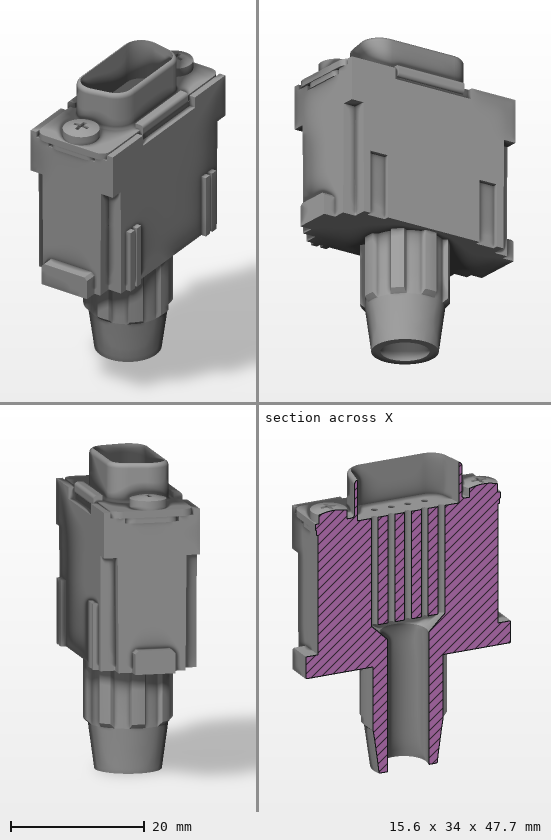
import cadquery as cq
import math

TOTAL_HEIGHT = 47.7
COLLAR_BASE_Z = 7.0
BODY_BASE_Z = 17.2
FUNNEL_BASE_Z = 21.27
CAVITY_TOP_Z = 23.85
SEAT_Z = 40.75
CONTACT_FACE_Z = 41.15
BODY_TOP_Z = 41.65
PLATE_TOP_Z = 41.8

JOINT_OVERLAP = 0.5

BODY_X = 14.8
BODY_Y = 30.0
SEAT_X = 12.8
CORNER_CUT = 2.1
CORNER_CUT_TOP_Z = 34.73
CORNER_CUT_DRAFT = 0.5
WINDOW_Y = 13.95
WINDOW_BASE_Z = 39.9
FOOT_SPAN_Y = 34.0
FOOT_HEIGHT = 3.6
FRONT_FOOT_X = 8.2
REAR_FOOT_X = 6.15
FOOT_CHAMFER = 0.5

SLOT_HEIGHT = 10.0
SLOT_CENTRE_Y = 9.95
SLOT_WIDTH = 3.2
SLOT_DEPTH = 0.85
RIB_PROJECTION = 0.8
RIB_WIDTH = 1.1
RIB_SPACING = 1.7
RIB_PAIR_CENTRE_Y = 10.0

CONNECTOR_SHIFT_X = -0.05
PLATE_X = 12.6
PLATE_Y = 30.8
PLATE_CORNER_RADIUS = 1.65
LEDGE_X = 8.3
LEDGE_CORNER_RADIUS = 1.6
LEDGE_PROJECTION = 0.25
LATCH_INNER_X = 5.45
LATCH_OUTER_X = 6.8
LATCH_Y = 12.0
LATCH_TOP_Z = 42.65
LATCH_TOP_RADIUS = 0.52
LATCH_BOTTOM_RADIUS = 0.6

SHELL_X = 9.25
SHELL_LONG_SIDE = 19.25
SHELL_END_ANGLE = 11.0
SHELL_CORNER_RADIUS = 3.15
SHELL_WALL = 0.55
SHELL_RIM_RADIUS = 0.7
SHELL_BASE_RADIUS = 0.45

CONTACT_PITCH = 2.75
CONTACT_ROW_X = 1.45
CONTACT_RADIUS = 0.52
LONG_ROW_COUNT = 5
SHORT_ROW_COUNT = 4

SCREW_Y = 12.5
SCREW_RADIUS = 2.75
SCREW_HEAD_HEIGHT = 1.4
SCREW_DOME_HEIGHT = 0.5
CROSS_LENGTH = 2.55
CROSS_WIDTH = 0.6
CROSS_DEPTH = 0.55

TIP_RADIUS = 5.05
COLLAR_RADIUS = 6.0
GRIP_RADIUS = 6.73
GRIP_COUNT = 8
GRIP_CREST_WIDTH = 1.95
GRIP_ROOT_WIDTH = 2.45
BORE_RADIUS = 3.65
FUNNEL_RADIUS = 6.25


def block(x_range, y_range, z_range):
    """Box given by its limits along each axis."""
    size = [high - low for low, high in (x_range, y_range, z_range)]
    corner = (x_range[0], y_range[0], z_range[0])
    return cq.Workplane("XY").box(*size, centered=False).translate(corner)


def make_body():
    height = BODY_TOP_Z - BODY_BASE_Z
    window_end_y = BODY_Y / 2 - LEDGE_CORNER_RADIUS
    body = cq.Workplane("XY").workplane(offset=BODY_BASE_Z).rect(BODY_X, BODY_Y).extrude(height)

    half_seat = SEAT_X / 2
    body = body.cut(block((-half_seat, half_seat), (-BODY_Y, BODY_Y), (SEAT_Z, TOTAL_HEIGHT)))

    for x_range in ((-BODY_X, -half_seat), (half_seat, BODY_X)):
        y_range = (-WINDOW_Y / 2, WINDOW_Y / 2)
        body = body.cut(block(x_range, y_range, (WINDOW_BASE_Z, TOTAL_HEIGHT)))

    for y_range in ((-BODY_Y, -window_end_y), (window_end_y, BODY_Y)):
        body = body.cut(block((-LEDGE_X / 2, LEDGE_X / 2), y_range, (WINDOW_BASE_Z, TOTAL_HEIGHT)))

    corner_notches = (
        cq.Workplane("XY")
        .workplane(offset=CORNER_CUT_TOP_Z)
        .rect(BODY_X, BODY_Y, forConstruction=True)
        .vertices()
        .rect(2 * CORNER_CUT, 2 * CORNER_CUT)
        .extrude(BODY_BASE_Z - CORNER_CUT_TOP_Z, taper=-CORNER_CUT_DRAFT)
    )
    return body.cut(corner_notches)


def make_foot(width, side):
    """Foot on the end face given by side: -1 for -Y, +1 for +Y."""
    y_range = sorted((side * FOOT_SPAN_Y / 2, side * (BODY_Y / 2 - JOINT_OVERLAP)))
    z_range = (BODY_BASE_Z, BODY_BASE_Z + FOOT_HEIGHT)
    foot = block((-width / 2, width / 2), y_range, z_range)
    return foot.edges("|Y and >Z").chamfer(FOOT_CHAMFER)


def make_coding_slot(centre_y):
    x_range = (-BODY_X, -BODY_X / 2 + SLOT_DEPTH)
    y_range = (centre_y - SLOT_WIDTH / 2, centre_y + SLOT_WIDTH / 2)
    return block(x_range, y_range, (BODY_BASE_Z, BODY_BASE_Z + SLOT_HEIGHT))


def make_coding_rib(centre_y):
    x_range = (BODY_X / 2 - JOINT_OVERLAP, BODY_X / 2 + RIB_PROJECTION)
    y_range = (centre_y - RIB_WIDTH / 2, centre_y + RIB_WIDTH / 2)
    return block(x_range, y_range, (BODY_BASE_Z, BODY_BASE_Z + SLOT_HEIGHT))


def make_plate():
    plate = cq.Workplane("XY").workplane(offset=SEAT_Z).rect(PLATE_X, PLATE_Y).extrude(PLATE_TOP_Z - SEAT_Z)
    return plate.edges("|Z").fillet(PLATE_CORNER_RADIUS)


def make_ledge():
    """Rounded ledge under the plate, standing proud of both end faces."""
    ledge = (
        cq.Workplane("XY")
        .workplane(offset=WINDOW_BASE_Z)
        .rect(LEDGE_X, BODY_Y + 2 * LEDGE_PROJECTION)
        .extrude(SEAT_Z - WINDOW_BASE_Z)
    )
    return ledge.edges("|Z").fillet(LEDGE_CORNER_RADIUS)


def make_latch():
    """Latch bar on the -X side, rounded along its outer edges."""
    x_range = (-LATCH_OUTER_X, -LATCH_INNER_X)
    latch = block(x_range, (-LATCH_Y / 2, LATCH_Y / 2), (SEAT_Z, LATCH_TOP_Z))
    latch = latch.edges("<X and >Z").fillet(LATCH_TOP_RADIUS)
    return latch.edges("<X and <Z").fillet(LATCH_BOTTOM_RADIUS)


def make_d_prism(base_z, top_z, inset):
    """Rounded D prism, its walls moved inward by inset; the long side faces -X."""
    half_x = SHELL_X / 2 - inset
    end_slope = math.radians(SHELL_END_ANGLE)
    centre_half_y = SHELL_LONG_SIDE / 2 - SHELL_X / 2 * math.tan(end_slope)
    centre_half_y -= inset / math.cos(end_slope)
    long_half = centre_half_y + half_x * math.tan(end_slope)
    short_half = centre_half_y - half_x * math.tan(end_slope)
    corners = [
        (-half_x, -long_half),
        (half_x, -short_half),
        (half_x, short_half),
        (-half_x, long_half),
    ]
    prism = cq.Workplane("XY").workplane(offset=base_z).polyline(corners).close().extrude(top_z - base_z)
    return prism.edges("|Z").fillet(SHELL_CORNER_RADIUS - inset)


def make_plate_with_shell():
    trimmed = SHELL_RIM_RADIUS - SHELL_WALL
    crest_z = TOTAL_HEIGHT + SHELL_RIM_RADIUS - math.sqrt(SHELL_RIM_RADIUS**2 - trimmed**2)
    shell = make_d_prism(SEAT_Z, crest_z, 0).faces(">Z").edges().fillet(SHELL_RIM_RADIUS)
    joined = make_plate().union(shell)
    margin = SHELL_BASE_RADIUS / 2
    root_box = cq.selectors.BoxSelector(
        (-SHELL_X / 2 - margin, -SHELL_LONG_SIDE / 2, PLATE_TOP_Z - margin),
        (SHELL_X / 2 + margin, SHELL_LONG_SIDE / 2, PLATE_TOP_Z + margin),
        boundingbox=True,
    )
    joined = joined.edges(root_box).fillet(SHELL_BASE_RADIUS)
    return joined.cut(make_d_prism(CONTACT_FACE_Z, crest_z, SHELL_WALL))


def make_screw_head():
    """Domed head with a cross recess, standing on Z = 0."""
    top = SCREW_HEAD_HEIGHT + SCREW_DOME_HEIGHT
    dome_radius = (SCREW_RADIUS**2 + SCREW_DOME_HEIGHT**2) / (2 * SCREW_DOME_HEIGHT)
    head = (
        cq.Workplane("XZ")
        .lineTo(SCREW_RADIUS, 0)
        .lineTo(SCREW_RADIUS, SCREW_HEAD_HEIGHT)
        .radiusArc((0, top), -dome_radius)
        .close()
        .revolve(360, (0, 0), (0, 1))
    )
    recess = cq.Workplane("XY").workplane(offset=top - CROSS_DEPTH)
    for size in ((CROSS_LENGTH, CROSS_WIDTH), (CROSS_WIDTH, CROSS_LENGTH)):
        head = head.cut(recess.rect(*size).extrude(SCREW_DOME_HEIGHT + CROSS_DEPTH))
    return head


def make_contact_holes():
    points = []
    for x, count in ((-CONTACT_ROW_X, LONG_ROW_COUNT), (CONTACT_ROW_X, SHORT_ROW_COUNT)):
        points += [(x, (i - (count - 1) / 2) * CONTACT_PITCH) for i in range(count)]
    depth = CONTACT_FACE_Z - CAVITY_TOP_Z
    hole_base = cq.Workplane("XY").workplane(offset=CAVITY_TOP_Z)
    return hole_base.pushPoints(points).circle(CONTACT_RADIUS).extrude(depth)


def make_cable_outlet():
    core = (
        cq.Workplane("XZ")
        .polyline(
            [
                (0, 0),
                (TIP_RADIUS, 0),
                (COLLAR_RADIUS, COLLAR_BASE_Z),
                (COLLAR_RADIUS, BODY_BASE_Z),
                (0, BODY_BASE_Z),
            ]
        )
        .close()
        .revolve(360, (0, 0), (0, 1))
    )

    grip_step = GRIP_RADIUS - COLLAR_RADIUS
    envelope = (
        cq.Workplane("XZ")
        .polyline(
            [
                (0, COLLAR_BASE_Z),
                (COLLAR_RADIUS, COLLAR_BASE_Z),
                (GRIP_RADIUS, COLLAR_BASE_Z + grip_step),
                (GRIP_RADIUS, BODY_BASE_Z),
                (0, BODY_BASE_Z),
            ]
        )
        .close()
        .revolve(360, (0, 0), (0, 1))
    )
    root_x = math.sqrt(COLLAR_RADIUS**2 - (GRIP_ROOT_WIDTH / 2) ** 2)
    crest = GRIP_CREST_WIDTH / 2
    root = GRIP_ROOT_WIDTH / 2
    rib = (
        cq.Workplane("XY")
        .workplane(offset=COLLAR_BASE_Z)
        .polyline(
            [
                (0, -root),
                (root_x, -root),
                (GRIP_RADIUS, -crest),
                (GRIP_RADIUS, crest),
                (root_x, root),
                (0, root),
            ]
        )
        .close()
        .extrude(BODY_BASE_Z - COLLAR_BASE_Z)
        .intersect(envelope)
    )
    for i in range(GRIP_COUNT):
        core = core.union(rib.rotate((0, 0, 0), (0, 0, 1), i * 360 / GRIP_COUNT))
    return core


def make_cavity():
    """Cable bore, open at the tip and widening in a funnel inside the body."""
    profile = [
        (0, 0),
        (BORE_RADIUS, 0),
        (BORE_RADIUS, FUNNEL_BASE_Z),
        (FUNNEL_RADIUS, CAVITY_TOP_Z),
        (0, CAVITY_TOP_Z),
    ]
    return cq.Workplane("XZ").polyline(profile).close().revolve(360, (0, 0), (0, 1))


result = make_body()
result = result.union(make_foot(FRONT_FOOT_X, -1)).union(make_foot(REAR_FOOT_X, 1))

for end in (-1, 1):
    result = result.cut(make_coding_slot(end * SLOT_CENTRE_Y))
    for offset in (-RIB_SPACING / 2, RIB_SPACING / 2):
        result = result.union(make_coding_rib(end * RIB_PAIR_CENTRE_Y + offset))

latch = make_latch()
connector = make_plate_with_shell().union(latch).union(latch.mirror("YZ"))
result = result.union(make_ledge()).union(connector.translate((CONNECTOR_SHIFT_X, 0, 0)))

for end in (-1, 1):
    result = result.union(make_screw_head().translate((0, end * SCREW_Y, PLATE_TOP_Z)))

result = result.union(make_cable_outlet())
result = result.cut(make_cavity()).cut(make_contact_holes())